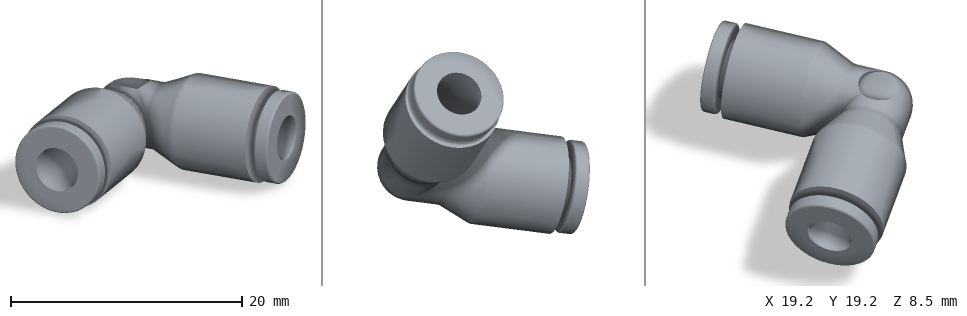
import cadquery as cq


overall_length = 19.2
body_diameter = 8.5
body_radius = body_diameter / 2
leg_reach = overall_length - body_radius

tube_radius = 2.95
bore_radius = 2.0

cone_start = 2.9
cone_end = 5.84
body_end = 12.96
cone_blend_radius = 0.7

stem_radius = 2.61
flange_radius = 4.05
flange_thickness = 1.29
flange_start = leg_reach - flange_thickness
flange_edge_radius = 0.2

recess_radius = 1.75
recess_floor_height = 2.38

second_leg_angle = -90


def cylinder_along_x(radius, start, end):
    return cq.Workplane("YZ").workplane(offset=start).circle(radius).extrude(end - start)


def leg_body():
    """Solid tube that flares through a cone, blended at both ends, into the wide body."""
    body = (
        cq.Workplane("XY")
        .moveTo(0, 0)
        .lineTo(0, tube_radius)
        .lineTo(cone_start, tube_radius)
        .lineTo(cone_end, body_radius)
        .lineTo(body_end, body_radius)
        .lineTo(body_end, 0)
        .close()
        .revolve(360, (0, 0, 0), (1, 0, 0))
    )
    return body.faces("%CONE").edges("%CIRCLE").fillet(cone_blend_radius)


def release_ring():
    """Stem and rounded flange at the mouth of a leg."""
    stem = cylinder_along_x(stem_radius, body_end, flange_start)
    flange = cylinder_along_x(flange_radius, flange_start, leg_reach)
    return stem.union(flange.edges("%CIRCLE").fillet(flange_edge_radius))


def on_both_legs(shape):
    """Join a shape on the +X leg with its copy on the -Y leg."""
    return shape.union(shape.rotate((0, 0, 0), (0, 0, 1), second_leg_angle))


corner = cq.Workplane("XY").sphere(tube_radius)
outside = on_both_legs(leg_body().union(release_ring())).union(corner)

passage_corner = cq.Workplane("XY").sphere(bore_radius)
passage = on_both_legs(cylinder_along_x(bore_radius, 0, leg_reach)).union(passage_corner)

recess = (
    cq.Workplane("XY")
    .workplane(offset=recess_floor_height)
    .circle(recess_radius)
    .extrude(tube_radius)
)

result = outside.cut(passage).cut(recess)